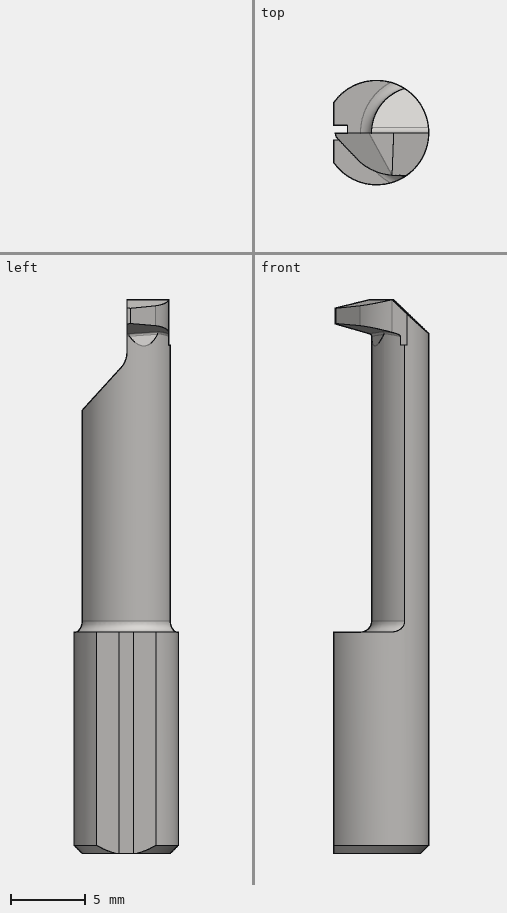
import cadquery as cq
import math

total_length = 37.0
shank_radius = 3.495
shank_length = 14.8
shank_chamfer = 0.55
flat_x = -2.865
groove_width = 0.95
groove_depth = 0.92

neck_radius = 3.07
neck_left_x = -0.35
neck_center_x = neck_left_x + neck_radius
neck_fillet = 0.75

rake_y = -0.05
clearance_corner_z = 32.9
clearance_edge_y = 2.95
clearance_edge_z = 29.6
clearance_fillet = 1.48

tip_x = -2.77
tip_relief_x = -2.7
tip_relief_y = -0.3
tip_top_z = 36.45
tip_bottom_z = 35.35
flank_y = -2.85
flank_start_x = 1.05
flank_end_x = 2.0
flank_bottom_z = 33.95
flank_arc_start = (-1.1, -1.95)
flank_arc_radius = 3.7
underside_fillet = 0.15
underside_neck_z = 34.65
underside_flank_z = 34.8
crest_left_x = -0.5
crest_right_x = 1.15
shoulder_z = 34.75

relief_upper_back = (neck_left_x, -0.1, 34.65)
relief_upper_front = (0.48, -2.05, 34.75)
relief_lowest = (-0.1, -1.1, 33.95)

tool_size = 3 * total_length


def half_space(p1, p2, p3):
    """Large block on the side of a plane from which p1, p2, p3 run counterclockwise."""
    a, b, c = cq.Vector(*p1), cq.Vector(*p2), cq.Vector(*p3)
    plane = cq.Plane(origin=a, xDir=b - a, normal=(b - a).cross(c - a))
    return cq.Workplane(plane).rect(tool_size, tool_size).extrude(tool_size)


def round_bar(length):
    return cq.Workplane("XY").circle(shank_radius).extrude(length)


def make_shank():
    shank = round_bar(shank_length).faces("<Z").edges().chamfer(shank_chamfer)
    beyond_flat = cq.Workplane("XY").box(
        shank_radius, 2 * shank_radius, shank_length, centered=(False, True, False)
    ).translate((flat_x - shank_radius, 0, 0))
    groove = cq.Workplane("XY").box(
        groove_depth, groove_width, shank_length, centered=(False, True, False)
    ).translate((flat_x, 0, 0))
    return shank.cut(beyond_flat).cut(groove)


def make_neck():
    """Revolve the neck with its flared root, then trim it to the shank diameter."""
    root_z = shank_length
    flare_end_z = root_z + neck_fillet
    arc_inset = neck_fillet * (1 - math.sqrt(0.5))
    neck = (
        cq.Workplane("XZ")
        .moveTo(0, 0)
        .lineTo(neck_radius, 0)
        .lineTo(neck_radius + neck_fillet, root_z)
        .threePointArc(
            (neck_radius + arc_inset, root_z + arc_inset), (neck_radius, flare_end_z)
        )
        .lineTo(neck_radius, total_length)
        .lineTo(0, total_length)
        .close()
        .revolve(360, (0, 0), (0, 1))
        .translate((neck_center_x, 0, 0))
    )
    above_shank = round_bar(total_length).cut(round_bar(root_z))
    relief = half_space(relief_upper_back, relief_lowest, relief_upper_front)
    return neck.intersect(above_shank).cut(relief)


def make_head():
    """Hooked cutting head with a straight flank joined by an arc to the front flat."""
    head = (
        cq.Workplane("XY")
        .workplane(offset=flank_bottom_z)
        .moveTo(tip_x, 0)
        .lineTo(tip_relief_x, tip_relief_y)
        .lineTo(*flank_arc_start)
        .radiusArc((flank_start_x, flank_y), -flank_arc_radius)
        .lineTo(flank_end_x, flank_y)
        .lineTo(flank_end_x, 0)
        .close()
        .extrude(total_length - flank_bottom_z)
    )
    below_underside = half_space(
        (tip_x, 0, tip_bottom_z),
        (neck_left_x, 0, underside_neck_z),
        (flank_start_x, flank_y, underside_flank_z),
    )
    return head.cut(below_underside)


def make_back_clearance():
    """Vertical rake plane running out through a fillet into a sloped ramp."""
    ramp_slope = (clearance_corner_z - clearance_edge_z) / (clearance_edge_y - rake_y)
    outer_y = 2 * shank_radius
    return (
        cq.Workplane("YZ")
        .moveTo(rake_y, total_length)
        .lineTo(rake_y, clearance_corner_z)
        .lineTo(outer_y, clearance_corner_z - ramp_slope * (outer_y - rake_y))
        .lineTo(outer_y, total_length)
        .close()
        .extrude(shank_radius * 2, both=True)
        .edges(cq.selectors.NearestToPointSelector((0, rake_y, clearance_corner_z)))
        .fillet(clearance_fillet)
    )


def make_front_clearance():
    """Space in front of the flat at the front of the head."""
    return cq.Workplane("XY").box(
        2 * shank_radius, shank_radius, total_length, centered=(True, False, False)
    ).translate((0, flank_y - shank_radius, flank_bottom_z))


def fillet_underside(part):
    """Round the inner corner where the neck meets the underside of the head."""
    margin = 0.1
    around_corner = cq.selectors.BoxSelector(
        (neck_left_x - margin, flank_y + margin, underside_neck_z - margin),
        (flank_end_x, rake_y, underside_flank_z + margin),
    )
    return part.edges(around_corner).fillet(underside_fillet)


crest_front = (flank_start_x, flank_y, total_length)
left_of_crest = half_space(
    (tip_x, 0, tip_top_z), crest_front, (crest_left_x, 0, total_length)
)
right_of_crest = half_space(
    (crest_right_x, 0, total_length), crest_front, (shank_radius, 0, shoulder_z)
)

upper = make_neck().union(make_head())
upper = upper.cut(make_back_clearance()).cut(make_front_clearance())
upper = upper.cut(left_of_crest).cut(right_of_crest)
upper = fillet_underside(upper)
result = make_shank().union(upper)